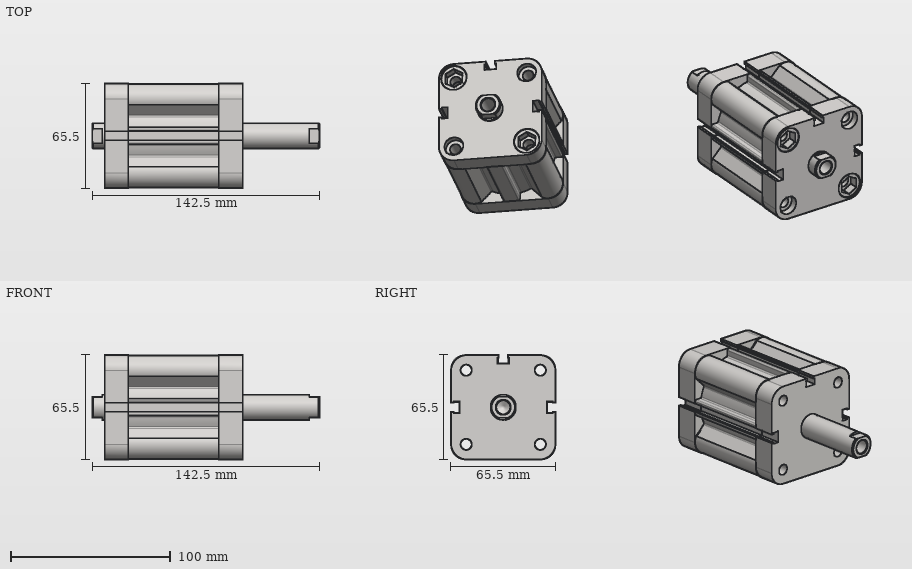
import cadquery as cq
import math


width = 65.5
cap_length = 15.0
housing_start = 7.8
housing_end = 94.5
corner_spacing = 23.2
cap_corner_radius = width / 2 - corner_spacing

barrel_inset = 0.3
barrel_half = width / 2 - barrel_inset
barrel_radius = 28.0
lobe_radius = barrel_half - corner_spacing
lobe_half_width = 8.7
rail_half_width = 5.3
barrel_fillet = 1.0

slot_lip_half = 2.8
slot_lip_depth = 1.7
cap_slot_half = 3.7
cap_slot_depth = 5.5
barrel_slot_half = 3.3
barrel_slot_depth = 5.1

bore_diameter = 6.8
counterbore_diameter = 12.0
counterbore_depth = 5.0
screw_pocket_diameter = 16.4

screw_diameter = 16.0
screw_recess = 0.4
screw_length = 14.5
socket_flats = 10.8
socket_depth = 6.0

rod_length = 142.5
rod_diameter = 16.0
rod_chamfer = 0.7
flat_length = 6.4
flat_spacing = 13.1
thread_diameter = 8.7
thread_mouth_diameter = 9.5
thread_depth = 20.0
drill_half_angle = 59.0

barrel_start = housing_start + cap_length
barrel_end = housing_end - cap_length
barrel_length = barrel_end - barrel_start
side_angles = [0, 90, 180, 270]
slotted_angles = [0, 90, 270]
screw_corners = [(corner_spacing, corner_spacing), (-corner_spacing, -corner_spacing)]
plain_corners = [(corner_spacing, -corner_spacing), (-corner_spacing, corner_spacing)]


def section_at(x):
    """Sketch plane across the axis at x: local x is Y, local y is Z, and it extrudes toward +X."""
    return cq.Workplane("YZ", origin=(x, 0, 0))


def about_axis(shape, angle):
    return shape.rotate((0, 0, 0), (1, 0, 0), angle)


def t_slot(start, length, half_width, depth):
    """T-slot cutter for the +Z side, measured down from the cap face."""
    face = width / 2
    lip = section_at(start).center(0, face - slot_lip_depth / 2).rect(2 * slot_lip_half, slot_lip_depth)
    undercut_height = depth - slot_lip_depth
    undercut = (
        section_at(start)
        .center(0, face - slot_lip_depth - undercut_height / 2)
        .rect(2 * half_width, undercut_height)
    )
    return lip.extrude(length).union(undercut.extrude(length))


def cut_side_slots(body, cutter):
    for angle in slotted_angles:
        body = body.cut(about_axis(cutter, angle))
    return body


def make_cap(start):
    cap = section_at(start).rect(width, width).extrude(cap_length)
    cap = cap.edges("|X").fillet(cap_corner_radius)
    return cut_side_slots(cap, t_slot(start, cap_length, cap_slot_half, cap_slot_depth))


def corner_lobe():
    """Straight-sided rib along +Y with a round nose; it is turned onto a diagonal afterwards."""
    nose_centre = corner_spacing * math.sqrt(2)
    arc_start = nose_centre + math.sqrt(lobe_radius**2 - lobe_half_width**2)
    return (
        section_at(barrel_start)
        .moveTo(0, -lobe_half_width)
        .lineTo(arc_start, -lobe_half_width)
        .threePointArc((nose_centre + lobe_radius, 0), (arc_start, lobe_half_width))
        .lineTo(0, lobe_half_width)
        .close()
        .extrude(barrel_length)
    )


def slot_rail():
    """Rail on the +Z side, tall enough to hold a T-slot, with rounded outer edges."""
    rail = section_at(barrel_start).center(0, barrel_half / 2).rect(2 * rail_half_width, barrel_half)
    return rail.extrude(barrel_length).edges("|X and >Z").fillet(barrel_fillet)


def root_points():
    """(Y, Z) of the inner corners where the +Z rail and the lobes beside it meet the barrel wall."""
    rail_root = (rail_half_width, math.sqrt(barrel_radius**2 - rail_half_width**2))
    lobe_root_angle = math.pi / 4 + math.asin(lobe_half_width / barrel_radius)
    lobe_root = (barrel_radius * math.cos(lobe_root_angle), barrel_radius * math.sin(lobe_root_angle))
    return [(sign * y, z) for y, z in (rail_root, lobe_root) for sign in (1, -1)]


def make_barrel():
    barrel = section_at(barrel_start).circle(barrel_radius).extrude(barrel_length)
    for angle in side_angles:
        barrel = barrel.union(about_axis(corner_lobe(), angle + 45))
        barrel = barrel.union(about_axis(slot_rail(), angle))
    middle = (barrel_start + barrel_end) / 2
    root_edges = []
    for angle in side_angles:
        for y, z in root_points():
            root = about_axis(cq.Vertex.makeVertex(middle, y, z), angle)
            root_edges += barrel.edges(cq.NearestToPointSelector(root.toTuple())).vals()
    barrel = barrel.newObject(root_edges).fillet(barrel_fillet)
    return cut_side_slots(barrel, t_slot(barrel_start, barrel_length, barrel_slot_half, barrel_slot_depth))


def make_housing():
    housing = make_barrel().union(make_cap(housing_start)).union(make_cap(barrel_end))
    housing_length = housing_end - housing_start
    rod_bore = section_at(housing_start).circle(rod_diameter / 2).extrude(housing_length)
    corner_bores = (
        section_at(housing_start)
        .pushPoints(screw_corners + plain_corners)
        .circle(bore_diameter / 2)
        .extrude(housing_length)
    )
    counterbores = (
        section_at(housing_start)
        .pushPoints(plain_corners)
        .circle(counterbore_diameter / 2)
        .extrude(counterbore_depth)
    )
    screw_pockets = (
        section_at(housing_start)
        .pushPoints(screw_corners)
        .circle(screw_pocket_diameter / 2)
        .extrude(screw_recess + screw_length)
    )
    return housing.cut(rod_bore).cut(corner_bores).cut(counterbores).cut(screw_pockets)


def make_screw(y, z):
    face = section_at(housing_start + screw_recess)
    blank = face.circle(screw_diameter / 2).circle(bore_diameter / 2).extrude(screw_length)
    across_corners = socket_flats / math.cos(math.pi / 6)
    socket = about_axis(face.polygon(6, across_corners).extrude(socket_depth), 30)
    return blank.cut(socket).translate((0, y, z))


def thread_hole():
    """Drilled hole from X = 0 with a chamfered mouth and a conical bottom."""
    radius = thread_diameter / 2
    mouth_radius = thread_mouth_diameter / 2
    tip = thread_depth + radius / math.tan(math.radians(drill_half_angle))
    return (
        cq.Workplane("XY")
        .moveTo(0, 0)
        .lineTo(0, mouth_radius)
        .lineTo(mouth_radius - radius, radius)
        .lineTo(thread_depth, radius)
        .lineTo(tip, 0)
        .close()
        .revolve(360, (0, 0, 0), (1, 0, 0))
    )


def wrench_flats():
    """Cutter for the two parallel flats at the X = 0 end, facing +Z and -Z."""
    outside = section_at(0).rect(2 * rod_diameter, 2 * rod_diameter).extrude(flat_length)
    kept = section_at(0).rect(2 * rod_diameter, flat_spacing).extrude(flat_length)
    return outside.cut(kept)


def make_rod():
    rod = section_at(0).circle(rod_diameter / 2).extrude(rod_length).faces("<X or >X").chamfer(rod_chamfer)
    end_cutter = wrench_flats().union(thread_hole())
    far_cutter = end_cutter.mirror("YZ").translate((rod_length, 0, 0))
    return rod.cut(end_cutter).cut(far_cutter)


housing = make_housing()
rod = make_rod()
screws = [make_screw(y, z) for y, z in screw_corners]

result = cq.Compound.makeCompound([housing.val(), rod.val(), *[screw.val() for screw in screws]])